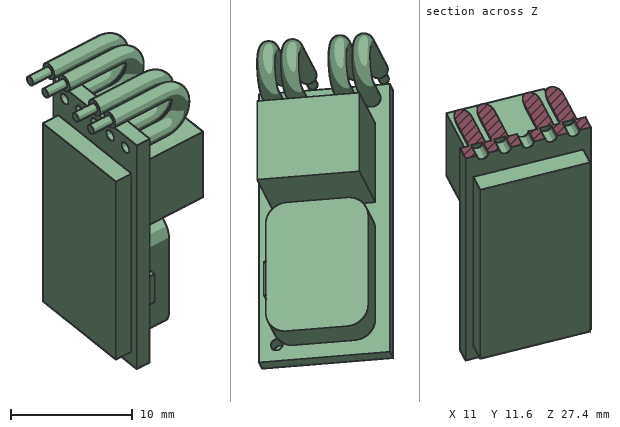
import cadquery as cq

BOARD_WIDTH = 11.0
BOARD_HEIGHT = 23.99
BOARD_THICKNESS = 1.37

HOLE_RADIUS = 0.5
HOLE_PITCH = 2.0
HOLE_DROP = 1.2
CORNER_HOLE_HEIGHT = 1.45
HOLE_STEPS = (-2, -1, 0, 1, 2)
WIRE_STEPS = (-2, -1, 1, 2)

PANEL_WIDTH = 9.6
PANEL_HEIGHT = 19.1
PANEL_THICKNESS = 1.65
PANEL_DROP = 3.47

BLOCK_WIDTH = 8.6
BLOCK_HEIGHT = 7.03
BLOCK_DEPTH = 6.6

ROUNDED_WIDTH = 8.6
ROUNDED_HEIGHT = 11.51
ROUNDED_DEPTH = 3.0
ROUNDED_CORNER = 1.75
ROUNDED_DROP = 11.19

TAB_REACH = 4.87
TAB_DEPTH = 1.0
TAB_HEIGHT = 3.0

SLEEVE_RADIUS = 0.75
CORE_RADIUS = 0.4
CORE_LENGTH = 2.0
BEND_RADIUS = 1.91
WIRE_STRAIGHT = 2.55

hole_row_z = BOARD_HEIGHT - HOLE_DROP
panel_top_z = BOARD_HEIGHT - PANEL_DROP


def box_on_face(width, depth, height, front_y, top_z):
    """Box centred on X that runs from front_y towards +Y and hangs down from top_z."""
    center = (0, front_y + depth / 2, top_z - height / 2)
    return cq.Workplane("XY").box(width, depth, height).translate(center)


def make_holes():
    """Cutters for the hole row and the corner hole, all through the board."""
    spots = [(step * HOLE_PITCH, hole_row_z) for step in HOLE_STEPS]
    spots.append((HOLE_STEPS[-1] * HOLE_PITCH, CORNER_HOLE_HEIGHT))
    return cq.Workplane("XZ").pushPoints(spots).circle(HOLE_RADIUS).extrude(-BOARD_THICKNESS)


def make_wire(x):
    """Sleeved wire with a half-circle bend and a bare core at its free end."""
    bend_y = BOARD_THICKNESS + WIRE_STRAIGHT
    upper_z = hole_row_z + 2 * BEND_RADIUS
    sleeve_end_y = -PANEL_THICKNESS
    path = (
        cq.Workplane("YZ", origin=(x, 0, 0))
        .moveTo(BOARD_THICKNESS, hole_row_z)
        .lineTo(bend_y, hole_row_z)
        .threePointArc((bend_y + BEND_RADIUS, hole_row_z + BEND_RADIUS), (bend_y, upper_z))
        .lineTo(sleeve_end_y, upper_z)
    )
    sleeve = (
        cq.Workplane("XZ", origin=(x, BOARD_THICKNESS, hole_row_z))
        .circle(SLEEVE_RADIUS)
        .sweep(path)
    )
    core = (
        cq.Workplane("XZ", origin=(x, sleeve_end_y, upper_z))
        .circle(CORE_RADIUS)
        .extrude(CORE_LENGTH)
    )
    return sleeve.union(core)


def make_tab():
    """Low tab that fills from the side of the rounded block out to TAB_REACH."""
    width = TAB_REACH - ROUNDED_WIDTH / 2
    top_z = BOARD_HEIGHT - ROUNDED_DROP - (ROUNDED_HEIGHT - TAB_HEIGHT) / 2
    tab = box_on_face(width, TAB_DEPTH, TAB_HEIGHT, BOARD_THICKNESS, top_z)
    return tab.translate((TAB_REACH - width / 2, 0, 0))


def make_board():
    """Board with its holes, the two blocks on its back and its wires."""
    board = box_on_face(BOARD_WIDTH, BOARD_THICKNESS, BOARD_HEIGHT, 0, BOARD_HEIGHT)
    board = board.cut(make_holes())
    block = box_on_face(BLOCK_WIDTH, BLOCK_DEPTH, BLOCK_HEIGHT, BOARD_THICKNESS, panel_top_z)
    rounded_block = box_on_face(
        ROUNDED_WIDTH, ROUNDED_DEPTH, ROUNDED_HEIGHT, BOARD_THICKNESS, BOARD_HEIGHT - ROUNDED_DROP
    ).edges("|Y").fillet(ROUNDED_CORNER)
    board = board.union(block).union(rounded_block).union(make_tab())
    for step in WIRE_STEPS:
        board = board.union(make_wire(step * HOLE_PITCH))
    return board


def make_panel():
    """Flat panel resting on the front face of the board."""
    return box_on_face(PANEL_WIDTH, PANEL_THICKNESS, PANEL_HEIGHT, -PANEL_THICKNESS, panel_top_z)


board = make_board()
panel = make_panel()
result = cq.Compound.makeCompound([board.val(), panel.val()])